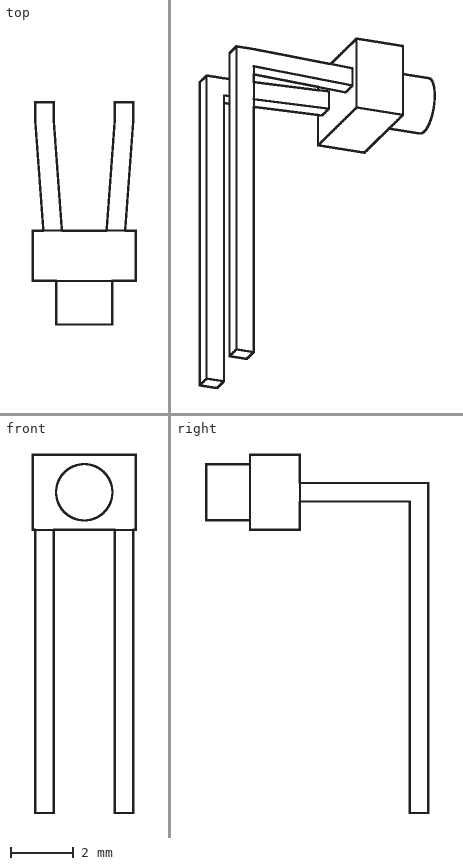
import cadquery as cq

body_width = 3.3
body_depth = 1.6
body_height = 2.4

lens_diameter = 1.8
lens_length = 1.4

lead_size = 0.6
lead_reach = 4.11
root_pitch = 2.02
pin_pitch = 2.54
overall_height = 11.45

body_front = -body_depth
pin_bottom = body_height / 2 - overall_height
pin_front = lead_reach - lead_size
lead_top = lead_size / 2


def make_body():
    return cq.Workplane("XY").box(
        body_width, body_depth, body_height
    ).translate((0, -body_depth / 2, 0))


def make_lens():
    return (
        cq.Workplane("XZ", origin=(0, body_front, 0))
        .circle(lens_diameter / 2)
        .extrude(lens_length)
    )


def make_lead(side):
    """One bent lead; side is -1 for the -X lead and +1 for the +X lead."""
    root_x = side * root_pitch / 2
    pin_x = side * pin_pitch / 2
    half = lead_size / 2

    splayed_arm = (
        cq.Workplane("XY", origin=(0, 0, -half))
        .polyline([
            (root_x - half, 0),
            (root_x + half, 0),
            (pin_x + half, pin_front),
            (pin_x - half, pin_front),
        ])
        .close()
        .extrude(lead_size)
    )
    pin = (
        cq.Workplane("XY", origin=(pin_x, pin_front + half, pin_bottom))
        .rect(lead_size, lead_size)
        .extrude(lead_top - pin_bottom)
    )
    return splayed_arm.union(pin)


result = make_body().union(make_lens())
for lead_side in (-1, 1):
    result = result.union(make_lead(lead_side))